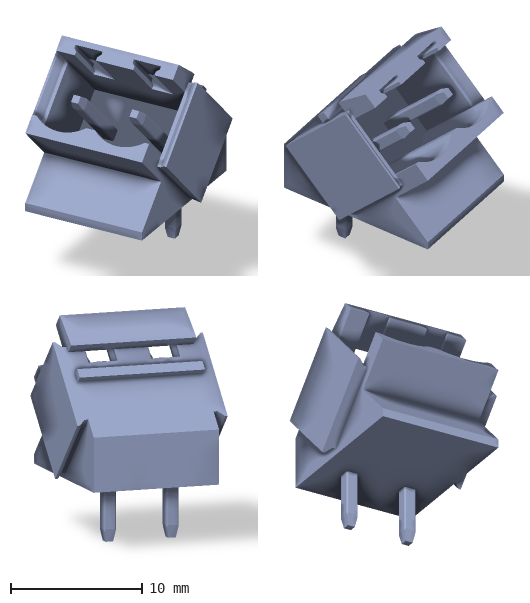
import cadquery as cq
import math

ROOT_2 = math.sqrt(2)

OVERALL_HEIGHT = 16.97
OVERALL_WIDTH = 12.17
PITCH = 5.07
POLE_XS = (-PITCH / 2, PITCH / 2)
HOUSING_WIDTH = 2 * PITCH
HALF_WIDTH = HOUSING_WIDTH / 2

BACK_Y = 3.8
MOUTH_REACH = 11.44
ROOF_RISE = 5.7
LOWER_LIP_RISE = -2.0
NOTCH_REACH = 7.21
STEP_REACH = 8.32
STEP_RISE = 6.57
STEP_LAND = 0.29
UPPER_LIP_END_RISE = 6.16

SOCKET_FLOOR_REACH = 2.87
SOCKET_BOTTOM_RISE = -0.44
SOCKET_TOP_RISE = 4.89
SCOOP_WIDTH = 4.33
SCOOP_DEPTH = 0.8

SLOT_END_REACH = 7.25
SLOT_NARROW_WIDTH = 1.83
SLOT_WIDE_WIDTH = 2.36
SLOT_NECK_RISE = 5.18
SLOT_FLARE = (SLOT_WIDE_WIDTH - SLOT_NARROW_WIDTH) / 2

RIB_REAR_REACH = 5.43
RIB_THICKNESS = 0.8
RIB_HEIGHT = 0.71
RIB_FILLET = 0.2

FLANGE_REAR_REACH = 1.51
FLANGE_FRONT_REACH = 9.32
FLANGE_BOTTOM_RISE = -1.32
FLANGE_RIM = 0.19
FLANGE_FLARE = 0.51

PIN_SIZE = 1.0
PIN_EDGE_RADIUS = 0.15
PIN_RISE = 1.82
PIN_END_REACH = 10.47
PIN_TIP_SIZE = 0.61
PIN_TIP_LENGTH = 1.0


def tilted(reach, rise):
    """Return the (y, z) of a point given in the tilted directions."""
    return (rise - reach) / ROOT_2, (rise + reach) / ROOT_2


def cross_plane(reach):
    """Plane square to the socket's axis; local x is X and local y is the rise."""
    return cq.Plane(origin=(0, *tilted(reach, 0)), xDir=(1, 0, 0), normal=(0, -1, 1))


def rise_plane(rise):
    """Plane parallel to the roof; local x is -X and local y is the reach."""
    return cq.Plane(origin=(0, *tilted(0, rise)), xDir=(-1, 0, 0), normal=(0, 1, 1))


def body_block():
    front_y, lip_z = tilted(MOUTH_REACH, LOWER_LIP_RISE)
    foot_z = NOTCH_REACH * ROOT_2 + front_y
    roof_back_z = ROOF_RISE * ROOT_2 - BACK_Y
    outline = [
        (BACK_Y, 0),
        (BACK_Y, roof_back_z),
        tilted(STEP_REACH, ROOF_RISE),
        tilted(STEP_REACH, STEP_RISE),
        tilted(STEP_REACH + STEP_LAND, STEP_RISE),
        tilted(MOUTH_REACH, UPPER_LIP_END_RISE),
        (front_y, lip_z),
        tilted(NOTCH_REACH, LOWER_LIP_RISE),
        (front_y, foot_z),
        (front_y, 0),
    ]
    return cq.Workplane("YZ").polyline(outline).close().extrude(HALF_WIDTH, both=True)


def roof_rib():
    """Rib across the full width, with a concave fillet along both sides of its root."""
    rear = RIB_REAR_REACH
    front = rear + RIB_THICKNESS
    top = ROOF_RISE + RIB_HEIGHT
    fillet_top = ROOF_RISE + RIB_FILLET
    root_rise = ROOF_RISE - RIB_FILLET
    arc_inset = RIB_FILLET * (1 - 1 / ROOT_2)
    rib = (
        cq.Workplane("YZ")
        .moveTo(*tilted(rear - RIB_FILLET, root_rise))
        .lineTo(*tilted(rear - RIB_FILLET, ROOF_RISE))
        .threePointArc(tilted(rear - arc_inset, ROOF_RISE + arc_inset), tilted(rear, fillet_top))
        .lineTo(*tilted(rear, top))
        .lineTo(*tilted(front, top))
        .lineTo(*tilted(front, fillet_top))
        .threePointArc(
            tilted(front + arc_inset, ROOF_RISE + arc_inset), tilted(front + RIB_FILLET, ROOF_RISE)
        )
        .lineTo(*tilted(front + RIB_FILLET, root_rise))
        .close()
    )
    return rib.extrude(HALF_WIDTH, both=True)


def side_flange(side):
    """Flange on the -X or +X side (-1 or 1); its front and rear edges taper toward the housing."""
    wall_x = HALF_WIDTH
    outer_x = OVERALL_WIDTH / 2
    rim_x = outer_x - FLANGE_RIM
    neck_x = rim_x - FLANGE_FLARE
    section = [
        (wall_x, FLANGE_REAR_REACH + FLANGE_FLARE),
        (neck_x, FLANGE_REAR_REACH + FLANGE_FLARE),
        (rim_x, FLANGE_REAR_REACH),
        (outer_x, FLANGE_REAR_REACH),
        (outer_x, FLANGE_FRONT_REACH),
        (rim_x, FLANGE_FRONT_REACH),
        (neck_x, FLANGE_FRONT_REACH - FLANGE_FLARE),
        (wall_x, FLANGE_FRONT_REACH - FLANGE_FLARE),
    ]
    placed = [(-side * x, reach) for x, reach in section]
    flange = cq.Workplane(rise_plane(FLANGE_BOTTOM_RISE)).polyline(placed).close()
    return flange.extrude(ROOF_RISE - FLANGE_BOTTOM_RISE)


def socket_cavity():
    """Space between the lips, across the whole housing and open at the mouth."""
    height = SOCKET_TOP_RISE - SOCKET_BOTTOM_RISE
    middle_rise = (SOCKET_TOP_RISE + SOCKET_BOTTOM_RISE) / 2
    floor = cq.Workplane(cross_plane(SOCKET_FLOOR_REACH)).center(0, middle_rise)
    return floor.rect(HOUSING_WIDTH, height).extrude(MOUTH_REACH - SOCKET_FLOOR_REACH)


def lip_scoop(pole_x):
    """Round hollow along the lower lip, below one pole."""
    half_width = SCOOP_WIDTH / 2
    scoop = (
        cq.Workplane(cross_plane(SOCKET_FLOOR_REACH))
        .moveTo(pole_x - half_width, SOCKET_BOTTOM_RISE)
        .threePointArc(
            (pole_x, SOCKET_BOTTOM_RISE - SCOOP_DEPTH), (pole_x + half_width, SOCKET_BOTTOM_RISE)
        )
        .close()
    )
    return scoop.extrude(MOUTH_REACH - SOCKET_FLOOR_REACH)


def keyed_slot(pole_x):
    """Slot in the upper lip, flaring to its wide part and open at the mouth, socket and roof."""
    narrow = SLOT_NARROW_WIDTH / 2
    wide = SLOT_WIDE_WIDTH / 2
    flare_top_rise = SLOT_NECK_RISE + SLOT_FLARE
    right_half = [
        (narrow, SOCKET_TOP_RISE),
        (narrow, SLOT_NECK_RISE),
        (wide, flare_top_rise),
        (wide, ROOF_RISE),
    ]
    left_half = [(-x, rise) for x, rise in reversed(right_half)]
    section = [(pole_x + x, rise) for x, rise in right_half + left_half]
    slot = cq.Workplane(cross_plane(SLOT_END_REACH)).polyline(section).close()
    return slot.extrude(MOUTH_REACH - SLOT_END_REACH)


def tip_trim(plane):
    """Material to remove around a pin end; the plane's normal points out of the pin."""
    taper_start = cq.Workplane(plane).workplane(offset=-PIN_TIP_LENGTH)
    blank = taper_start.rect(2 * PIN_SIZE, 2 * PIN_SIZE).extrude(PIN_TIP_LENGTH)
    tip = (
        taper_start.rect(PIN_SIZE, PIN_SIZE)
        .workplane(offset=PIN_TIP_LENGTH)
        .rect(PIN_TIP_SIZE, PIN_TIP_SIZE)
        .loft()
    )
    return blank.cut(tip)


def build_pin(pole_x):
    """Square wire with rounded edges, bent once, tapered at both ends."""
    leg_end_z = tilted(MOUTH_REACH, UPPER_LIP_END_RISE)[1] - OVERALL_HEIGHT
    bend_z = PIN_RISE * ROOT_2
    contact_end = tilted(PIN_END_REACH, PIN_RISE)
    axis_points = [(0, leg_end_z), (0, bend_z), contact_end]
    path = cq.Workplane("YZ", origin=(pole_x, 0, 0)).polyline(axis_points)
    leg_end = cq.Plane(origin=(pole_x, 0, leg_end_z), xDir=(1, 0, 0), normal=(0, 0, -1))
    mouth_end = cq.Plane(origin=(pole_x, *contact_end), xDir=(1, 0, 0), normal=(0, -1, 1))
    section = cq.Sketch().rect(PIN_SIZE, PIN_SIZE).vertices().fillet(PIN_EDGE_RADIUS)
    wire = cq.Workplane(leg_end).placeSketch(section).sweep(path, transition="right")
    return wire.cut(tip_trim(leg_end)).cut(tip_trim(mouth_end))


def build_housing(pins):
    housing = body_block().union(roof_rib()).cut(socket_cavity())
    for pole_x in POLE_XS:
        housing = housing.cut(lip_scoop(pole_x)).cut(keyed_slot(pole_x))
    for side in (-1, 1):
        housing = housing.union(side_flange(side))
    for pin in pins:
        housing = housing.cut(pin)
    return housing


pins = [build_pin(pole_x) for pole_x in POLE_XS]
housing = build_housing(pins)

result = cq.Compound.makeCompound([body.solids().val() for body in (housing, *pins)])